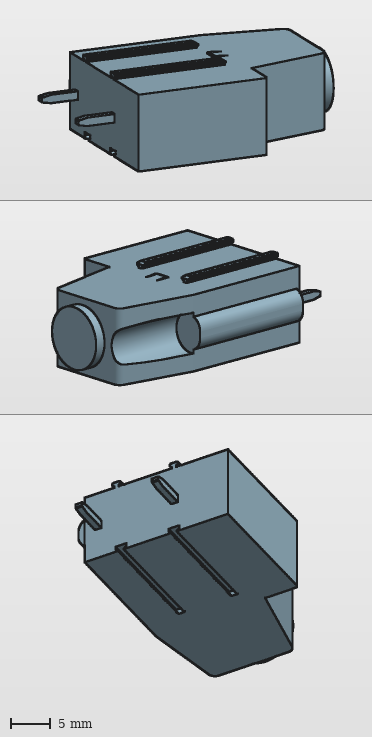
import cadquery as cq
import math


overall_depth = 35.8

body_width = 20.8
body_depth = 29.35
body_height = 10.13
mid_height = body_height / 2
left_taper_start = 18.22
left_taper_inset = 1.9
shoulder_depth = 17.9
shoulder_x = 16.0
back_right_x = 13.68
back_corner_radius = 1.0
shoulder_corner_radius = 0.35

boss_diameter = 8.25
boss_length = 1.43
boss_x = 8.63

rail_start = 0.5
rail_projection = 1.2
rail_height = 4.33
rail_flat_height = 0.85

groove_radius = 2.72
groove_axis_x = 0.45

rib_left_edges = (3.97, 12.3)
rib_length = 15.43
rib_height = 0.8
rib_width = 1.25
rib_stem_width = 0.6
rib_stem_height = 0.18
rib_flare_top = 0.43
rib_edge_chamfer = 0.18
rib_end_slope_length = 0.55
rib_end_slope_height = 0.3

slot_centers = (5.25, 12.95)
slot_width = 1.58
slot_mouth_width = 0.8
slot_height = 0.8
slot_side_height = 0.4
slot_length = rib_length

latch_center_x = boss_x
latch_width = 1.97
latch_front = 15.5
latch_crest = 15.7
latch_back = 17.47
latch_height = 0.15

pin_centers = (1.97, 13.05)
pin_width = 0.93
pin_height = 1.1
pin_length = overall_depth - body_depth - boss_length
pin_taper_start = 3.75
pin_nose_height = 0.65
pin_end_height = 0.45
pin_nose_length = 0.1


def make_body():
    """Housing block with a tapered back part and a shoulder on the right."""
    body = (
        cq.Workplane("XY")
        .moveTo(0, 0)
        .lineTo(body_width, 0)
        .lineTo(body_width, shoulder_depth)
        .lineTo(shoulder_x, shoulder_depth)
        .lineTo(back_right_x, body_depth)
        .lineTo(left_taper_inset, body_depth)
        .lineTo(0, left_taper_start)
        .close()
        .extrude(body_height)
    )
    body = body.edges("|Z and >Y").fillet(back_corner_radius)
    return body.edges("|Z and >X").edges(">Y").fillet(shoulder_corner_radius)


def make_cylinder(radius, axis_x, start, length):
    """Cylinder along +Y at mid height, starting at the given depth."""
    base_center = cq.Vector(axis_x, start, mid_height)
    return cq.Workplane("XY").add(cq.Solid.makeCylinder(radius, length, base_center, cq.Vector(0, 1, 0)))


def make_boss():
    return make_cylinder(boss_diameter / 2, boss_x, body_depth, boss_length)


def make_groove():
    """Cutter that ends square at the start of the taper."""
    return make_cylinder(groove_radius, groove_axis_x, left_taper_start, body_depth - left_taper_start)


def extrude_along_depth(profile, start, length):
    """Extrude a closed XZ profile toward +Y from the given depth."""
    return profile.extrude(-length).translate((0, start, 0))


def make_rail():
    """Bar with a narrow flat crest, joined to the wall by arcs tangent to the crest."""
    half_flat = rail_flat_height / 2
    half_base = rail_height / 2
    rise = half_base - half_flat
    radius = (rise**2 + rail_projection**2) / (2 * rail_projection)
    half_angle = math.asin(rise / radius) / 2
    mid_x = -rail_projection + radius * (1 - math.cos(half_angle))
    mid_offset = half_flat + radius * math.sin(half_angle)
    profile = (
        cq.Workplane("XZ")
        .moveTo(0, mid_height - half_base)
        .threePointArc((mid_x, mid_height - mid_offset), (-rail_projection, mid_height - half_flat))
        .lineTo(-rail_projection, mid_height + half_flat)
        .threePointArc((mid_x, mid_height + mid_offset), (0, mid_height + half_base))
        .close()
    )
    return extrude_along_depth(profile, rail_start, left_taper_start - rail_start)


def make_rib(left_edge):
    """Undercut rib with chamfered top edges and a sloped back end."""
    center = left_edge + rib_width / 2
    half_cap = rib_width / 2
    half_stem = rib_stem_width / 2
    half_outline = [
        (half_stem, 0),
        (half_stem, rib_stem_height),
        (half_cap, rib_flare_top),
        (half_cap, rib_height - rib_edge_chamfer),
        (half_cap - rib_edge_chamfer, rib_height),
    ]
    outline = half_outline + [(-x, z) for x, z in reversed(half_outline)]
    profile = cq.Workplane("XZ").polyline(outline).close()
    rib = extrude_along_depth(profile, 0, rib_length)
    end_cut = (
        cq.Workplane("YZ")
        .moveTo(rib_length, rib_height - rib_end_slope_height)
        .lineTo(rib_length, rib_height)
        .lineTo(rib_length - rib_end_slope_length, rib_height)
        .close()
        .extrude(rib_width / 2, both=True)
    )
    return rib.cut(end_cut).translate((center, 0, body_height))


def make_slot(center):
    """Cutter for an undercut slot that opens through the front and bottom faces."""
    half_mouth = slot_mouth_width / 2
    half_width = slot_width / 2
    profile = (
        cq.Workplane("XZ")
        .moveTo(center - half_mouth, 0)
        .lineTo(center + half_mouth, 0)
        .lineTo(center + half_width, slot_side_height)
        .lineTo(center + half_width, slot_height)
        .lineTo(center - half_width, slot_height)
        .lineTo(center - half_width, slot_side_height)
        .close()
    )
    return extrude_along_depth(profile, 0, slot_length)


def make_latch():
    """Shallow ramp rising toward the front, with a short steep front side."""
    return (
        cq.Workplane("YZ")
        .moveTo(latch_front, body_height)
        .lineTo(latch_crest, body_height + latch_height)
        .lineTo(latch_back, body_height)
        .close()
        .extrude(latch_width / 2, both=True)
        .translate((latch_center_x, 0, 0))
    )


def make_pin(center):
    """Rectangular pin with a long taper and a small blunted nose."""
    half_outline = [
        (0, pin_height / 2),
        (-pin_taper_start, pin_height / 2),
        (pin_nose_length - pin_length, pin_nose_height / 2),
        (-pin_length, pin_end_height / 2),
    ]
    outline = half_outline + [(y, -z) for y, z in reversed(half_outline)]
    pin = cq.Workplane("YZ").polyline(outline).close().extrude(pin_width / 2, both=True)
    return pin.translate((center, 0, mid_height))


result = make_body().cut(make_groove()).union(make_boss()).union(make_rail()).union(make_latch())
for rib_left_edge in rib_left_edges:
    result = result.union(make_rib(rib_left_edge))
for slot_center in slot_centers:
    result = result.cut(make_slot(slot_center))
for pin_center in pin_centers:
    result = result.union(make_pin(pin_center))